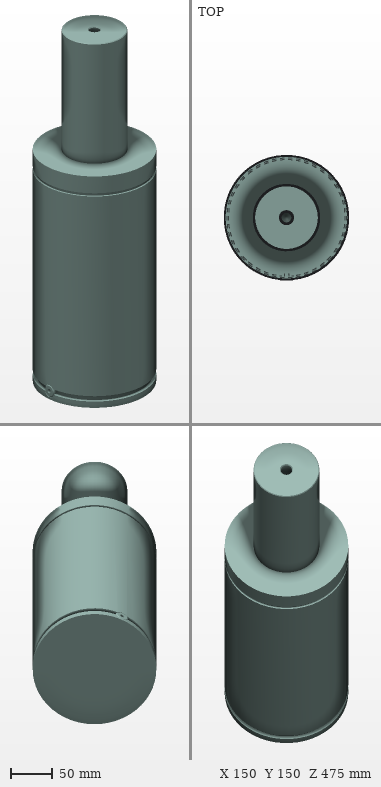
import cadquery as cq

total_height = 475.0
body_diameter = 150.0
body_height = 313.0
rod_diameter = 80.0
body_radius = body_diameter / 2
rod_radius = rod_diameter / 2
rod_chamfer = 1.0

upper_groove_bottom = 286.0
upper_groove_width = 4.5
upper_groove_depth = 2.5

lower_groove_bottom = 8.5
lower_groove_width = 7.0
lower_groove_depth = 4.5

rod_hole_diameter = 14.0
rod_hole_mouth_diameter = 16.0
rod_hole_depth = 23.8
drill_point_height = 4.0

port_height = 11.0
port_diameter = 16.0
port_face_diameter = 14.0
port_hole_diameter = 5.5
port_hole_depth = 7.0
port_root_depth = 9.5


def make_cylinder_and_rod():
    """Revolve the grooved body and the rod as one profile."""
    upper_groove_radius = body_radius - upper_groove_depth
    upper_groove_top = upper_groove_bottom + upper_groove_width
    lower_groove_top = lower_groove_bottom + lower_groove_width
    lower_groove_radius = body_radius - lower_groove_depth
    profile = (
        cq.Workplane("XZ")
        .lineTo(body_radius, 0)
        .lineTo(body_radius, lower_groove_bottom)
        .lineTo(lower_groove_radius, lower_groove_bottom)
        .lineTo(lower_groove_radius, lower_groove_top)
        .lineTo(body_radius, lower_groove_top)
        .lineTo(body_radius, upper_groove_bottom)
        .lineTo(upper_groove_radius, upper_groove_bottom)
        .lineTo(upper_groove_radius, upper_groove_top)
        .lineTo(body_radius, upper_groove_top)
        .lineTo(body_radius, body_height)
        .lineTo(rod_radius, body_height)
        .lineTo(rod_radius, total_height - rod_chamfer)
        .lineTo(rod_radius - rod_chamfer, total_height)
        .lineTo(0, total_height)
        .close()
    )
    return profile.revolve(360, (0, 0), (0, 1))


def make_rod_hole():
    """Revolve the countersunk hole with its conical bottom."""
    hole_radius = rod_hole_diameter / 2
    mouth_radius = rod_hole_mouth_diameter / 2
    countersink_depth = mouth_radius - hole_radius
    hole_bottom = total_height - rod_hole_depth
    profile = (
        cq.Workplane("XZ")
        .moveTo(0, total_height)
        .lineTo(mouth_radius, total_height)
        .lineTo(hole_radius, total_height - countersink_depth)
        .lineTo(hole_radius, hole_bottom)
        .lineTo(0, hole_bottom - drill_point_height)
        .close()
    )
    return profile.revolve(360, (0, 0), (0, 1))


def make_port_cylinder(diameter, depth):
    """Cylinder along Y at the port, from the body's outermost line inward."""
    return (
        cq.Workplane("XZ", origin=(0, -body_radius, port_height))
        .circle(diameter / 2)
        .extrude(-depth)
    )


def make_port_plug():
    """Plug with a 45-degree chamfer around its flat outer face."""
    chamfer = (port_diameter - port_face_diameter) / 2
    plug = make_port_cylinder(port_diameter, port_root_depth)
    return plug.faces("<Y").chamfer(chamfer)


part = make_cylinder_and_rod().cut(make_rod_hole())

port_seat = make_port_cylinder(port_diameter, port_root_depth)
port_hole = make_port_cylinder(port_hole_diameter, port_hole_depth)

result = part.cut(port_seat).union(make_port_plug()).cut(port_hole)